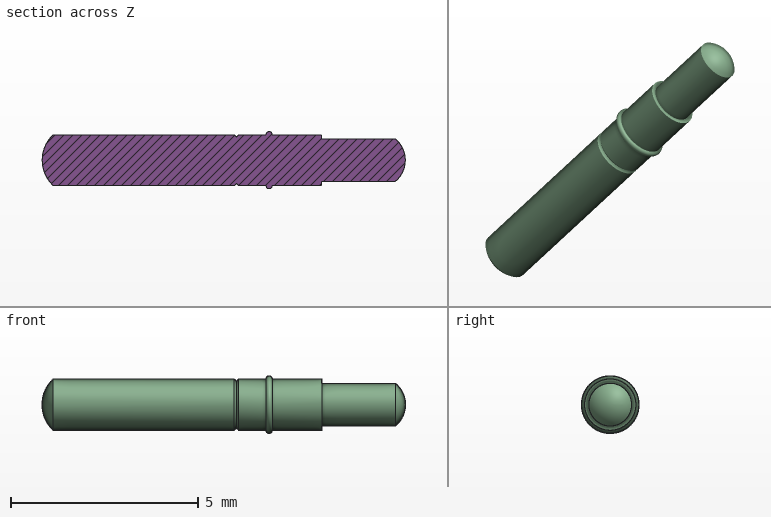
import cadquery as cq


total_length = 9.7
barrel_diameter = 1.37
plunger_diameter = 1.14
ring_diameter = 1.54

barrel_dome_height = 0.3
plunger_dome_height = 0.27

groove_center = 5.19
ring_center = 6.06
shoulder = 7.47

groove_width = 0.12
groove_depth = 0.06

barrel_radius = barrel_diameter / 2
plunger_radius = plunger_diameter / 2
ring_radius = ring_diameter / 2
ring_half_width = ring_radius - barrel_radius


def dome_radius(height, base_radius):
    """Sphere radius of a cap with the given height and base radius."""
    return (base_radius**2 + height**2) / (2 * height)


def half_height_point(height, base_radius):
    """Distance from the cap tip and from the axis of a point halfway up the cap."""
    depth = height / 2
    sphere = dome_radius(height, base_radius)
    return depth, (2 * sphere * depth - depth**2) ** 0.5


def make_pin():
    """Revolve the half outline of the pin, from the barrel dome to the plunger dome."""
    barrel_depth, barrel_offset = half_height_point(barrel_dome_height, barrel_radius)
    plunger_depth, plunger_offset = half_height_point(plunger_dome_height, plunger_radius)

    outline = (
        cq.Workplane("XY")
        .moveTo(0, 0)
        .threePointArc((barrel_depth, barrel_offset), (barrel_dome_height, barrel_radius))
        .lineTo(groove_center - groove_width / 2, barrel_radius)
        .lineTo(groove_center, barrel_radius - groove_depth)
        .lineTo(groove_center + groove_width / 2, barrel_radius)
        .lineTo(ring_center - ring_half_width, barrel_radius)
        .threePointArc((ring_center, ring_radius), (ring_center + ring_half_width, barrel_radius))
        .lineTo(shoulder, barrel_radius)
        .lineTo(shoulder, plunger_radius)
        .lineTo(total_length - plunger_dome_height, plunger_radius)
        .threePointArc((total_length - plunger_depth, plunger_offset), (total_length, 0))
        .close()
    )
    return outline.revolve(360, (0, 0, 0), (1, 0, 0))


result = make_pin()